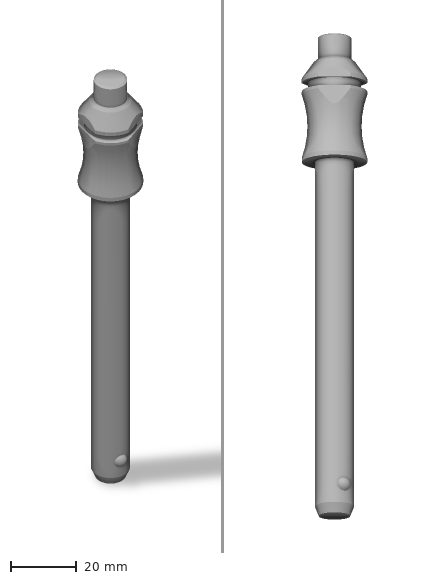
import cadquery as cq

length = 150.1
shaft_radius = 6.0
grip_radius = 9.98
waist_radius = 8.3
button_radius = 5.1

tip_height = 3.0
tip_radius = 4.8

grip_bottom = 110.8
lower_rim_height = 1.4
upper_rim_height = 0.9
hollow_half_height = 9.9
hollow_bottom = grip_bottom + lower_rim_height
waist_z = hollow_bottom + hollow_half_height
hollow_top = waist_z + hollow_half_height
grip_top = hollow_top + upper_rim_height

groove_height = 2.7
groove_radius = 8.1
cap_bottom = grip_top + groove_height
cap_rim_height = 1.4
cone_bottom = cap_bottom + cap_rim_height
cone_top = 141.8
cone_top_radius = 6.5
cap_top = 142.7
cap_top_radius = 5.4

button_chamfer_height = 0.5
button_chamfer_width = 0.8

ball_radius = 2.3
ball_reach = 7.4
ball_z = 8.9

flat_distance = 8.7
flat_angles = (30, 150, 270)


def make_body():
    """Revolve the shaft, grip, cap and button about Z."""
    profile = (
        cq.Workplane("XZ")
        .moveTo(0, 0)
        .lineTo(tip_radius, 0)
        .lineTo(shaft_radius, tip_height)
        .lineTo(shaft_radius, grip_bottom)
        .lineTo(grip_radius, grip_bottom)
        .lineTo(grip_radius, hollow_bottom)
        .threePointArc((waist_radius, waist_z), (grip_radius, hollow_top))
        .lineTo(grip_radius, grip_top)
        .lineTo(groove_radius, grip_top)
        .lineTo(groove_radius, cap_bottom)
        .lineTo(grip_radius, cap_bottom)
        .lineTo(grip_radius, cone_bottom)
        .lineTo(cone_top_radius, cone_top)
        .lineTo(cap_top_radius, cap_top)
        .lineTo(button_radius, cap_top)
        .lineTo(button_radius, length - button_chamfer_height)
        .lineTo(button_radius - button_chamfer_width, length)
        .lineTo(0, length)
        .close()
    )
    return profile.revolve(360, (0, 0), (0, 1))


def make_flat_cutter(angle):
    """Block that removes everything beyond one flat, above the grip waist."""
    depth = grip_radius
    return (
        cq.Workplane("XY", origin=(0, 0, waist_z))
        .center(flat_distance + depth / 2, 0)
        .rect(depth, 2 * grip_radius)
        .extrude(cap_top - waist_z)
        .rotate((0, 0, 0), (0, 0, 1), angle)
    )


def make_ball(side):
    """Locking ball on the +X (side = 1) or -X (side = -1) face of the shaft."""
    ball_x = side * (ball_reach - ball_radius)
    return cq.Workplane("XY").sphere(ball_radius).translate((ball_x, 0, ball_z))


result = make_body()
for flat_angle in flat_angles:
    result = result.cut(make_flat_cutter(flat_angle))
for ball_side in (-1, 1):
    result = result.union(make_ball(ball_side))